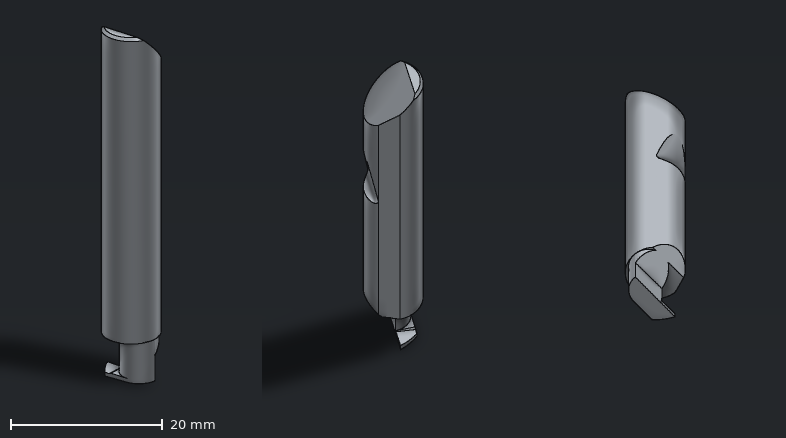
import cadquery as cq
import math


overall_length = 50.8
shank_diameter = 7.9375
shank_radius = shank_diameter / 2
shank_length = 44.45
shank_bottom = overall_length - shank_length
top_chamfer = 0.4

flat_start_angle = 136.0
flat_end_angle = 179.0
flat_direction = (flat_start_angle + flat_end_angle) / 2
flat_half_angle = (flat_end_angle - flat_start_angle) / 2
flat_offset = shank_radius * math.cos(math.radians(flat_half_angle))

top_slope_height = 48.55
bottom_slope_height = 4.0

notch_bottom = 29.15
notch_top = 37.4
notch_depth = 1.4
notch_corner_radius = 1.0

neck_left = -1.33
neck_radius = (shank_radius - neck_left) / 2
neck_center_x = shank_radius - neck_radius

tooth_tip_x = -shank_radius
tooth_width = 0.87
tooth_heel_x = -2.35
tooth_end_bow = 0.15
ramp_start_x = -1.65
ramp_end_x = neck_left
ramp_drop = 0.15
end_angle = 2.0
side_angle = 1.5
relief_angle = 2.0
end_slope = math.tan(math.radians(end_angle))
side_slope = math.tan(math.radians(side_angle))
relief_slope = math.tan(math.radians(relief_angle))

margin = 2.0
cutter_size = 4 * shank_diameter


def prism_across_x(points):
    """Closed (y, z) outline extruded through the full width along X."""
    return cq.Workplane("YZ").polyline(points).close().extrude(shank_diameter, both=True)


def half_space(height, slope_x, slope_y, side):
    """Block on one side of a tilted plane through the tooth tip; side +1 is above, -1 below."""
    plane = cq.Plane(
        origin=(tooth_tip_x, 0, height),
        xDir=(1, 0, slope_x),
        normal=(-slope_x, -slope_y, 1),
    )
    return cq.Workplane(plane).rect(cutter_size, cutter_size).extrude(side * cutter_size)


def make_shank():
    shank = (
        cq.Workplane("XY")
        .workplane(offset=shank_bottom)
        .circle(shank_radius)
        .extrude(shank_length)
        .faces(">Z")
        .chamfer(top_chamfer)
    )
    flat_cutter = (
        cq.Workplane("XY")
        .box(shank_diameter, shank_diameter, overall_length, centered=(False, True, False))
        .translate((flat_offset, 0, shank_bottom))
        .rotate((0, 0, 0), (0, 0, 1), flat_direction)
    )
    return shank.cut(flat_cutter)


def make_notch_cutter():
    """Sloped floor that runs down to a rounded corner and a square lower wall."""
    floor_y = shank_radius - notch_depth
    floor_slope = notch_depth / (notch_top - notch_bottom)
    outer_y = shank_radius + margin
    cutter = prism_across_x([
        (floor_y, notch_bottom),
        (outer_y, notch_bottom),
        (outer_y, notch_top + margin / floor_slope),
    ])
    return cutter.edges("|X").edges("<Y").fillet(notch_corner_radius)


def make_top_slope_cutter():
    outer_y = shank_radius + margin
    upper_z = overall_length + margin
    return prism_across_x([
        (top_slope_height - upper_z, upper_z),
        (outer_y, top_slope_height - outer_y),
        (outer_y, upper_z),
    ])


def make_bottom_slope_cutter():
    """Clears everything behind the cutting plane y = 0 and below the lower slope."""
    outer_y = shank_radius + margin
    return prism_across_x([
        (0, -margin),
        (0, bottom_slope_height),
        (outer_y, bottom_slope_height + outer_y),
        (outer_y, -margin),
    ])


def make_neck():
    return cq.Workplane("XY").center(neck_center_x, 0).circle(neck_radius).extrude(shank_bottom)


def make_tooth():
    plate = (
        cq.Workplane("XY")
        .moveTo(tooth_tip_x, 0)
        .sagittaArc((tooth_heel_x, -neck_radius), -tooth_end_bow)
        .lineTo(neck_center_x, -neck_radius)
        .lineTo(neck_center_x, 0)
        .close()
        .extrude(tooth_width)
    )
    ramp_slope = ramp_drop / (ramp_end_x - ramp_start_x)
    ramp_foot_x = ramp_end_x - tooth_width / ramp_slope
    relief_zone = (
        cq.Workplane("XZ")
        .polyline([
            (ramp_end_x, tooth_width),
            (ramp_foot_x, 0),
            (ramp_foot_x - margin, 0),
            (tooth_tip_x - margin, tooth_width),
        ])
        .close()
        .extrude(neck_radius)
    )
    above_tooth = half_space(tooth_width, -side_slope, relief_slope, 1)
    return plate.cut(relief_zone.intersect(above_tooth))


result = (
    make_shank()
    .cut(make_top_slope_cutter())
    .cut(make_notch_cutter())
    .union(make_neck())
    .union(make_tooth())
    .cut(make_bottom_slope_cutter())
    .cut(half_space(0, end_slope, -relief_slope, -1))
)